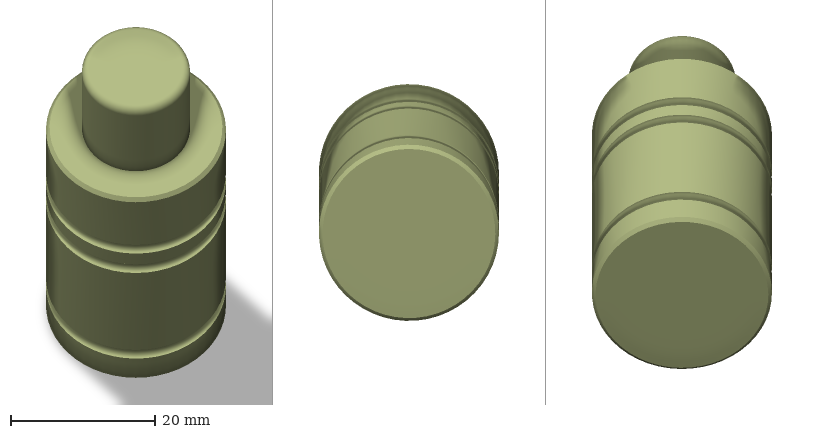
import cadquery as cq

total_height = 56.0
body_diameter = 25.0
body_height = 42.0
rod_diameter = 15.0

body_chamfer = 0.5
rod_fillet = 1.0

groove_radius = 1.0
groove_heights = (6.0, 26.0, 30.5)


def make_body():
    """Cylinder standing on Z = 0 with both rims chamfered."""
    body = cq.Workplane("XY").circle(body_diameter / 2).extrude(body_height)
    return body.edges("%CIRCLE").chamfer(body_chamfer)


def make_rod():
    """Plunger rising from the body's top face, rounded at its free end."""
    rod = cq.Workplane("XY").workplane(offset=body_height)
    rod = rod.circle(rod_diameter / 2).extrude(total_height - body_height)
    return rod.faces(">Z").edges().fillet(rod_fillet)


def make_groove(height):
    """Ring of round section centred on the body's surface."""
    ring = cq.Solid.makeTorus(body_diameter / 2, groove_radius, cq.Vector(0, 0, height))
    return cq.Workplane(obj=ring)


result = make_body().union(make_rod())
for groove_height in groove_heights:
    result = result.cut(make_groove(groove_height))